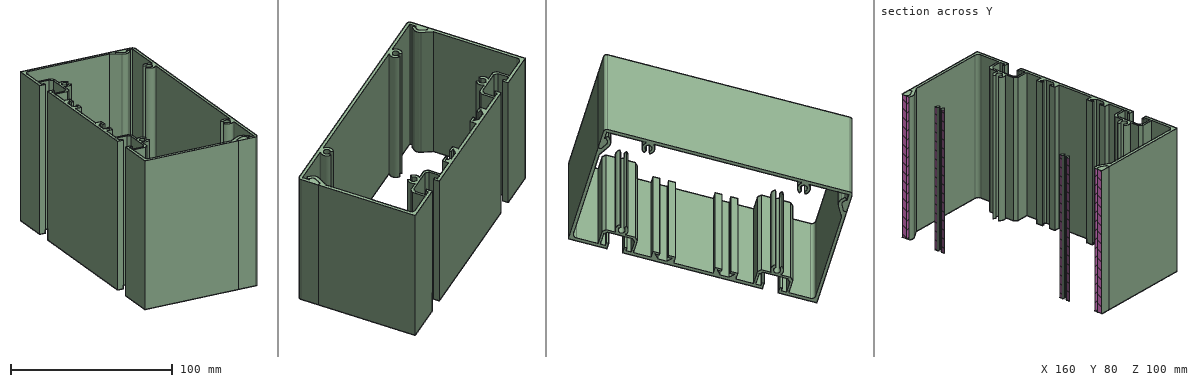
import cadquery as cq
import math

width = 160.0
depth = 80.0
length = 100.0
front_y = -depth / 2
back_y = depth / 2
side_x = width / 2

wall = 2.0
inner_corner_radius = 2.5
lid_corner_radius = 2.0

joint_drop = 14.0
clip_thickness = 2.0
clip_slope = 61.5
clip_crest_drop = 8.5
clip_tip_angle = 45.0
clip_tip_length = 3.8
clip_bend_radius = 2.2
hook_top_drop = 6.4

pitch = 100.0
channel_width = 22.7
channel_height = 12.6
channel_wall = 1.5
channel_outer_chamfer = 2.0
channel_inner_chamfer = 2.0
slot_width = 10.0
lip_height = 4.0
lip_thickness = 1.6

boss_outer_radius = 4.0
boss_bore_radius = 2.0
lid_boss_opening = 50.0
tray_boss_opening = 63.0
lid_boss_root_radius = 0.24
lid_boss_drop = 5.6
tray_boss_height = 15.0

rail_pitch = 40.0
rail_width = 14.5
rail_height = 6.2
rail_leg = 1.8
rail_tab_length = 4.5
rail_tab_thickness = 1.5

channel_positions = [-pitch / 2, pitch / 2]
rail_positions = [-rail_pitch / 2, rail_pitch / 2]


def box(x_min, x_max, y_min, y_max):
    """Full-length rectangular bar."""
    return cq.Workplane("XY").box(
        x_max - x_min, y_max - y_min, length, centered=False
    ).translate((x_min, y_min, -length / 2))


def prism(points):
    """Full-length bar with a polygonal section."""
    return cq.Workplane("XY", origin=(0, 0, -length / 2)).polyline(points).close().extrude(length)


def both_sides(shape):
    """The shape together with its mirror image in the YZ plane."""
    return shape.union(shape.mirror("YZ"))


def hook_points():
    """Corners of the left joint face: wall, crest, and clip end, plus the clip's outer face."""
    slope = math.radians(clip_slope)
    tip = math.radians(clip_tip_angle)
    root = (-side_x + wall, back_y - joint_drop)
    rise = joint_drop - clip_crest_drop
    crest = (root[0] + rise / math.tan(slope), root[1] + rise)
    end = (crest[0] - clip_tip_length * math.cos(tip), crest[1] + clip_tip_length * math.sin(tip))
    half_turn = (math.pi - slope - tip) / 2
    bisector = (slope - tip) / 2
    reach = clip_thickness / math.cos(half_turn)
    outer_crest = (crest[0] + reach * math.cos(bisector), crest[1] - reach * math.sin(bisector))
    outer_end = (end[0] + clip_thickness * math.sin(tip), end[1] + clip_thickness * math.cos(tip))
    outer_root = (root[0], root[1] - clip_thickness / math.cos(slope))
    return root, crest, end, outer_end, outer_crest, outer_root


def rounded_at(shape, point, radius):
    """Rounds the lengthwise edge that passes through the point."""
    reach = 0.02
    x, y = point
    selector = cq.selectors.BoxSelector(
        (x - reach, y - reach, -length), (x + reach, y + reach, length)
    )
    return shape.edges("|Z").edges(selector).fillet(radius)


def clip():
    """Springy arm at the top of the tray's left wall."""
    root, crest, end, outer_end, outer_crest, outer_root = hook_points()
    arm = prism([root, crest, end, outer_end, outer_crest, outer_root])
    arm = rounded_at(arm, crest, clip_bend_radius)
    return rounded_at(arm, outer_crest, clip_bend_radius + clip_thickness)


def lid_hook():
    """Left side leg of the lid, with the nose that sits behind the clip."""
    root, crest, end = hook_points()[:3]
    hook_y = back_y - hook_top_drop
    nose_x = crest[0] - (hook_y - crest[1]) / math.tan(math.radians(clip_tip_angle))
    nose = prism([
        (-side_x, root[1]),
        root,
        crest,
        (nose_x, hook_y),
        (-side_x, hook_y),
    ])
    nose = rounded_at(nose, crest, clip_bend_radius)
    return nose.union(box(-side_x, -side_x + wall, back_y - joint_drop, back_y))


def boss(x, y, opening_angle, opening_direction):
    """Open ring around a screw axis; opening_direction is +1 for +Y and -1 for -Y."""
    half_angle = math.radians(opening_angle / 2)
    reach = 2 * boss_outer_radius
    spread = reach * math.tan(half_angle)
    opening_y = y + opening_direction * reach
    ring = (
        cq.Workplane("XY", origin=(x, y, -length / 2))
        .circle(boss_outer_radius)
        .circle(boss_bore_radius)
        .extrude(length)
    )
    return ring.cut(prism([(x, y), (x - spread, opening_y), (x + spread, opening_y)]))


def channel(x):
    """Hat-shaped channel over a front slot, without the slot opening."""
    half = channel_width / 2
    top = front_y + channel_height
    outer = box(x - half, x + half, front_y, top).edges("|Z and >Y").chamfer(channel_outer_chamfer)
    cavity = box(x - half + channel_wall, x + half - channel_wall, front_y + wall, top - channel_wall)
    cavity = cavity.edges("|Z and >Y").chamfer(channel_inner_chamfer)
    lip_half = slot_width / 2 + lip_thickness
    lips = box(x - lip_half, x + lip_half, front_y, front_y + lip_height)
    return outer.cut(cavity).union(lips)


def tray_boss(x):
    """Boss on the roof of a channel, trimmed so that it stays out of the channel's cavity."""
    ring = boss(x, front_y + tray_boss_height, tray_boss_opening, 1)
    roof_y = front_y + channel_height
    return ring.cut(box(x - boss_outer_radius, x + boss_outer_radius, front_y, roof_y - channel_wall / 2))


def channel_slot(x):
    """Opening through the front wall and between the lips of a channel."""
    return box(x - slot_width / 2, x + slot_width / 2, front_y, front_y + lip_height)


def rail(x):
    """Pair of facing legs with inward tabs and 45 degree feet."""
    half = rail_width / 2
    floor = front_y + wall
    top = front_y + rail_height
    tab_y = top - rail_tab_thickness
    foot = rail_leg + tab_y - floor
    leg = prism([
        (-half, floor),
        (-half, top),
        (-half + rail_tab_length, top),
        (-half + rail_tab_length, tab_y),
        (-half + rail_leg, tab_y),
        (-half + foot, floor),
    ])
    return leg.union(leg.mirror("YZ")).translate((x, 0, 0))


def make_tray():
    """Front wall, side walls and everything that grows from them."""
    top = back_y - joint_drop
    cavity = box(-side_x + wall, side_x - wall, front_y + wall, top)
    cavity = cavity.edges("|Z and <Y").fillet(inner_corner_radius)
    body = box(-side_x, side_x, front_y, top).cut(cavity)
    body = body.union(both_sides(clip()))
    for x in rail_positions:
        body = body.union(rail(x))
    for x in channel_positions:
        body = body.union(channel(x))
        body = body.union(tray_boss(x))
        body = body.cut(channel_slot(x))
    return body


def make_lid():
    """Back wall with two hooked legs and two screw bosses."""
    body = box(-side_x, side_x, back_y - wall, back_y).union(both_sides(lid_hook()))
    body = body.edges("|Z and >Y").fillet(lid_corner_radius)
    root_half_width = math.sqrt(boss_outer_radius**2 - (lid_boss_drop - wall) ** 2)
    for x in channel_positions:
        body = body.union(boss(x, back_y - lid_boss_drop, lid_boss_opening, -1))
        for side in (-1, 1):
            root = (x + side * root_half_width, back_y - wall)
            body = rounded_at(body, root, lid_boss_root_radius)
    return body


tray = make_tray()
lid = make_lid()

result = cq.Compound.makeCompound([tray.val(), lid.val()])